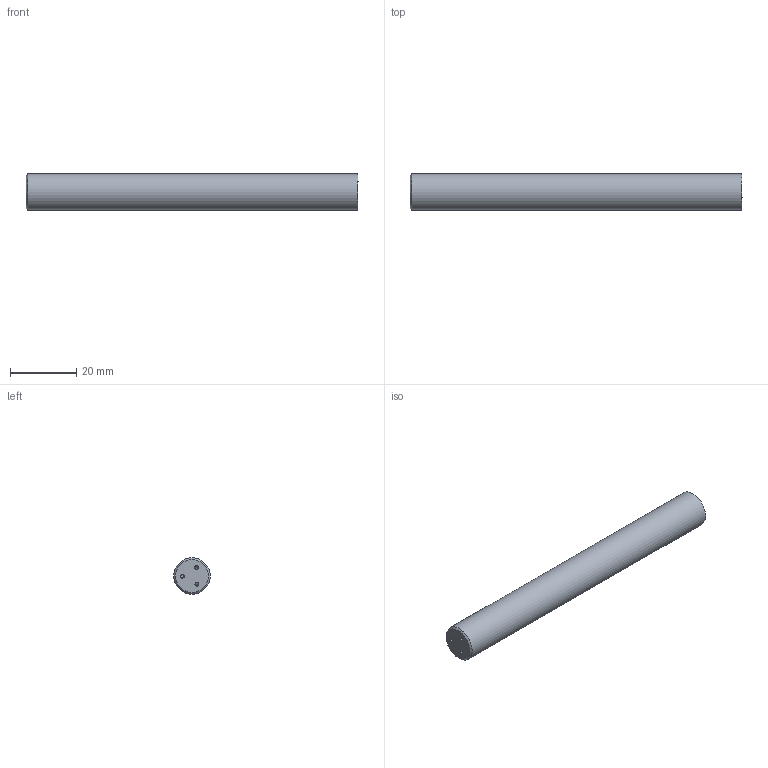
import cadquery as cq
import math

LENGTH = 100.0
DIAMETER = 11.0
CHAMFER = 0.5

HOLE_COUNT = 3
HOLE_DIAMETER = 1.1
HOLE_PITCH_RADIUS = 2.9
HELIX_ANGLE = 30.0
HOLE_START_ANGLE = -1.5

START_X = -LENGTH / 2
HELIX_LEAD = math.pi * DIAMETER / math.tan(math.radians(HELIX_ANGLE))
HOLE_TWIST = 360 * LENGTH / HELIX_LEAD


def cross_section(x):
    """Workplane across the rod at x, with local axes along Y and Z."""
    return cq.Workplane("YZ", origin=(x, 0, 0))


def make_rod():
    """Rod body with a chamfer on the -X end only."""
    rod = cross_section(START_X).circle(DIAMETER / 2).extrude(LENGTH)
    return rod.faces("<X").chamfer(CHAMFER)


def make_holes():
    """All helical cutters, evenly spaced around the rod axis."""
    centres = cross_section(START_X).polarArray(HOLE_PITCH_RADIUS, HOLE_START_ANGLE, 360, HOLE_COUNT)
    return centres.circle(HOLE_DIAMETER / 2).twistExtrude(LENGTH, HOLE_TWIST)


result = make_rod().cut(make_holes())